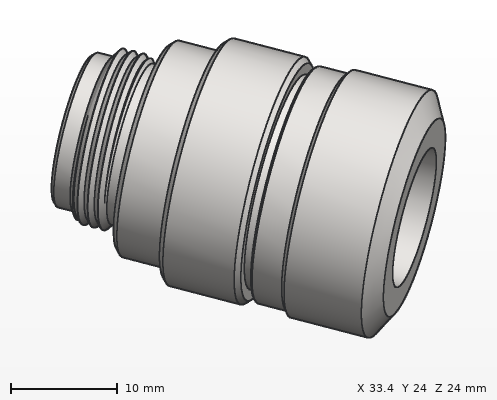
import cadquery as cq
LENGTH = 33.4
EDGE_CHAMFER = 0.5

NOSE_RADIUS = 7.5
NOSE_CHAMFER = 0.35
RELIEF_RADIUS = 7.8

THREAD_START = 1.95
THREAD_END = 5.65
THREAD_RADIUS = 8.5
THREAD_PITCH = 1.0
THREAD_DEPTH = 0.48
THREAD_CREST = 0.04
THREAD_LEAD_IN = 0.7
THREAD_LEAD_OUT = 0.55
THREAD_HELIX_START = 0.75
THREAD_TURNS = 6
CUTTER_OVERSHOOT = 0.015

SHOULDER_START = 7.0
SHOULDER_RADIUS = 10.5
BODY_RADIUS = 12.0
FRONT_RING_START = 12.0
FRONT_RING_END = 20.0

GROOVE_MIDDLE = 20.5
GROOVE_FRONT_RADIUS = 10.42
GROOVE_MIDDLE_RADIUS = 10.3
GROOVE_REAR_RADIUS = 10.23

NECK_START = 20.9
NECK_RADIUS = 11.5
NECK_CHAMFER = 0.2
REAR_RING_START = 24.0
REAR_RING_CHAMFER_LENGTH = 0.4
REAR_BEVEL_LENGTH = 1.4
REAR_END_RADIUS = 9.6

FRONT_BORE_RADIUS = 7.1
REAR_BORE_RADIUS = 6.75
BORE_STEP = FRONT_RING_START


def revolve_about_x(points):
    """Full turn around the X axis of a closed (x, radius) outline."""
    return cq.Workplane("XY").polyline(points).close().revolve(360, (0, 0, 0), (1, 0, 0))


def make_body():
    """Stepped sleeve without the thread collar."""
    return revolve_about_x([
        (BORE_STEP, REAR_BORE_RADIUS),
        (BORE_STEP, FRONT_BORE_RADIUS),
        (0, FRONT_BORE_RADIUS),
        (0, NOSE_RADIUS - NOSE_CHAMFER),
        (NOSE_CHAMFER, NOSE_RADIUS),
        (THREAD_START, NOSE_RADIUS),
        (THREAD_END, RELIEF_RADIUS),
        (SHOULDER_START, RELIEF_RADIUS),
        (SHOULDER_START, SHOULDER_RADIUS - EDGE_CHAMFER),
        (SHOULDER_START + EDGE_CHAMFER, SHOULDER_RADIUS),
        (FRONT_RING_START, SHOULDER_RADIUS),
        (FRONT_RING_START, BODY_RADIUS - EDGE_CHAMFER),
        (FRONT_RING_START + EDGE_CHAMFER, BODY_RADIUS),
        (FRONT_RING_END - EDGE_CHAMFER, BODY_RADIUS),
        (FRONT_RING_END, BODY_RADIUS - EDGE_CHAMFER),
        (FRONT_RING_END, GROOVE_FRONT_RADIUS),
        (GROOVE_MIDDLE, GROOVE_MIDDLE_RADIUS),
        (NECK_START, GROOVE_REAR_RADIUS),
        (NECK_START, NECK_RADIUS - NECK_CHAMFER),
        (NECK_START + NECK_CHAMFER, NECK_RADIUS),
        (REAR_RING_START, NECK_RADIUS),
        (REAR_RING_START + REAR_RING_CHAMFER_LENGTH, BODY_RADIUS),
        (LENGTH - REAR_BEVEL_LENGTH, BODY_RADIUS),
        (LENGTH, REAR_END_RADIUS),
        (LENGTH, REAR_BORE_RADIUS),
    ])


def make_thread_turn_cutter():
    """One turn of the helical V-groove cutter, swept along Z and then laid along X."""
    root_radius = THREAD_RADIUS - THREAD_DEPTH
    outer_radius = THREAD_RADIUS + CUTTER_OVERSHOOT
    crest_half_width = (THREAD_PITCH - THREAD_CREST) / 2
    half_width = crest_half_width * (outer_radius - root_radius) / THREAD_DEPTH
    path = cq.Wire.makeHelix(THREAD_PITCH, THREAD_PITCH, root_radius)
    cutter = (
        cq.Workplane("XZ")
        .polyline([(root_radius, 0), (outer_radius, half_width), (outer_radius, -half_width)])
        .close()
        .sweep(cq.Workplane(path), isFrenet=True)
    )
    return cutter.rotate((0, 0, 0), (0, 1, 0), 90)


def make_thread():
    """Bevelled collar with the helical groove cut one turn at a time."""
    thread = revolve_about_x([
        (THREAD_START, FRONT_BORE_RADIUS),
        (THREAD_START, NOSE_RADIUS),
        (THREAD_START + THREAD_LEAD_IN, THREAD_RADIUS),
        (THREAD_END - THREAD_LEAD_OUT, THREAD_RADIUS),
        (THREAD_END, RELIEF_RADIUS),
        (THREAD_END, FRONT_BORE_RADIUS),
    ])
    turn_cutter = make_thread_turn_cutter()
    for turn in range(THREAD_TURNS):
        turn_start = THREAD_HELIX_START + turn * THREAD_PITCH
        thread = thread.cut(turn_cutter.translate((turn_start, 0, 0)))
    return thread


result = make_body().union(make_thread())